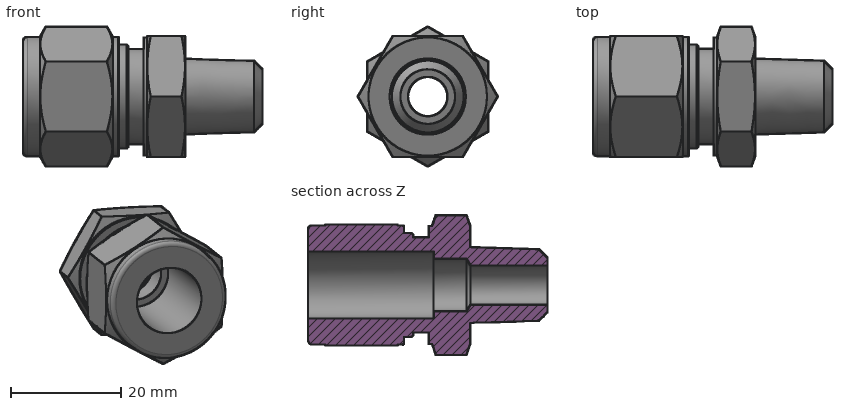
import cadquery as cq
import math


total_length = 43.5
nut_hex_start = 3.1
nut_hex_end = 16.3
nut_end = 17.45
shoulder_end = 19.15
neck_end = 21.95
body_hex_start = 22.5
body_hex_end = 29.5
tip_chamfer = 1.55
tip_chamfer_start = total_length - tip_chamfer

hex_corner_diameter = 25.4
nut_radius = 21.7 / 2
shoulder_radius = 18.95 / 2
neck_radius = 17.35 / 2
collar_radius = 21.5 / 2
male_end_radius = 6.53
taper_slope = 1 / 32
male_root_radius = male_end_radius + taper_slope * (tip_chamfer_start - body_hex_end)

nut_face_fillet = 0.83
nut_end_chamfer = 0.17
shoulder_chamfer = 0.35
nut_hex_chamfer_angle = 30.0
body_hex_chamfer_angle = 20.0

tube_radius = 12.15 / 2
tube_depth = 22.8
middle_bore_radius = 9.5 / 2
through_bore_radius = 7.1 / 2
drill_half_angle = 59.0
bore_cone_end = body_hex_end
bore_cone_length = (middle_bore_radius - through_bore_radius) / math.tan(math.radians(drill_half_angle))
bore_cone_start = bore_cone_end - bore_cone_length


def revolve_about_x(outline):
    """Solid of revolution from (x, radius) points that start and end on the X axis."""
    return cq.Workplane("XY").polyline(outline).close().revolve(360, (0, 0, 0), (1, 0, 0))


def cylinder(start, end, radius):
    return cq.Workplane("YZ", origin=(start, 0, 0)).circle(radius).extrude(end - start)


def chamfered_hex(start, end, round_radius, chamfer_angle, turn):
    """Hexagonal prism whose corners are cut by cones that begin at round_radius on each end."""
    prism = (
        cq.Workplane("YZ", origin=(start, 0, 0))
        .polygon(6, hex_corner_diameter)
        .extrude(end - start)
        .rotate((0, 0, 0), (1, 0, 0), turn)
    )
    corner_radius = hex_corner_diameter / 2
    cut_length = (corner_radius - round_radius) * math.tan(math.radians(chamfer_angle))
    envelope = revolve_about_x([
        (start, 0),
        (start, round_radius),
        (start + cut_length, corner_radius),
        (end - cut_length, corner_radius),
        (end, round_radius),
        (end, 0),
    ])
    return prism.intersect(envelope)


def make_nut():
    barrel = cylinder(0, nut_end, nut_radius)
    barrel = barrel.faces("<X").edges().fillet(nut_face_fillet)
    barrel = barrel.faces(">X").edges().chamfer(nut_end_chamfer)
    return barrel.union(chamfered_hex(nut_hex_start, nut_hex_end, nut_radius, nut_hex_chamfer_angle, 90))


def make_body():
    shoulder = cylinder(nut_end, shoulder_end, shoulder_radius)
    shoulder = shoulder.faces(">X").edges().chamfer(shoulder_chamfer)
    neck = cylinder(shoulder_end, neck_end, neck_radius)
    collar = cylinder(neck_end, body_hex_start, collar_radius)
    hexagon = chamfered_hex(body_hex_start, body_hex_end, collar_radius, body_hex_chamfer_angle, 0)
    return shoulder.union(neck).union(collar).union(hexagon)


def make_male_end():
    return revolve_about_x([
        (body_hex_end, 0),
        (body_hex_end, male_root_radius),
        (tip_chamfer_start, male_end_radius),
        (total_length, male_end_radius - tip_chamfer),
        (total_length, 0),
    ])


def make_bore():
    return revolve_about_x([
        (0, 0),
        (0, tube_radius),
        (tube_depth, tube_radius),
        (tube_depth, middle_bore_radius),
        (bore_cone_start, middle_bore_radius),
        (bore_cone_end, through_bore_radius),
        (total_length, through_bore_radius),
        (total_length, 0),
    ])


result = make_nut().union(make_body()).union(make_male_end()).cut(make_bore())